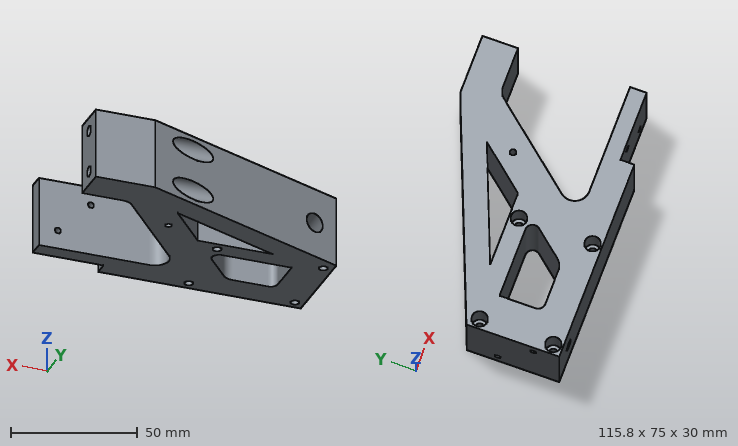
import math

import cadquery as cq

length = 115.85
depth = 75.0
thickness = 30.0

back_edge_y = 39.0
upper_arm_tip_length = 25.2
upper_arm_width = 15.0
lower_tab_length = 30.0
lower_tab_width = 7.0
tab_step = 5.85

slope_top_x = length - upper_arm_tip_length
slope_rise_per_run = (depth - back_edge_y) / slope_top_x
tab_start_x = length - lower_tab_length
tab_top_y = tab_step + lower_tab_width
upper_arm_bottom_y = depth - upper_arm_width

brace_rise_per_run = math.tan(math.radians(50.0))
throat_corner_x = 56.25
throat_corner_radius = 6.0
arm_corner_radius = 6.0

triangle_left_x = 27.0
triangle_right_x = 58.75

window_left_x = 15.85
window_bottom_right_x = 36.65
window_top_y = 31.0
window_acute_radius = 3.0
window_obtuse_radius = 6.0
window_square_radius = 3.0

mount_x_positions = (4.0, 49.0)
mount_y_positions = (4.0, 35.0)
mount_hole_diameter = 3.5
mount_bore_diameter = 6.5
mount_bore_depth = 10.0

arm_hole_y = 67.5
arm_hole_z_positions = (6.0, 24.0)
arm_hole_diameter = 4.2
arm_bore_diameter = 8.0
arm_bore_floor_x = slope_top_x

cross_hole_x = 10.85
cross_hole_z = thickness / 2
cross_hole_diameter = 4.7
cross_bore_diameter = 8.0
cross_bore_floor_y = 31.0

brace_hole_x = 74.15
brace_hole_y = 46.75
brace_hole_diameter = 2.6

tab_hole_centres = ((93.85, 22.0), (107.85, 8.0))
tab_hole_diameter = 2.5

end_hole_centres = ((11.0, 25.0), (26.0, 5.0))
end_hole_diameter = 2.5
end_hole_depth = 10.0
drill_point_angle = 118.0


def brace_x(foot_x, foot_y, y):
    """X at height y on a line parallel to the brace through the given foot."""
    return foot_x + (y - foot_y) / brace_rise_per_run


def vertical_edge(x, y):
    """Selector for the single edge along Z at the given corner."""
    reach = 0.1
    return cq.selectors.BoxSelector(
        (x - reach, y - reach, -reach),
        (x + reach, y + reach, thickness + reach),
    )


def prism(points):
    return cq.Workplane("XY").polyline(points).close().extrude(thickness)


def bore_z(x, y, diameter, z_start, height):
    return cq.Workplane("XY", origin=(x, y, z_start)).circle(diameter / 2).extrude(height)


def bore_x(y, z, diameter, x_start, reach):
    return cq.Workplane("YZ", origin=(x_start, y, z)).circle(diameter / 2).extrude(reach)


def bore_y(x, z, diameter, y_start, reach):
    return cq.Workplane("XZ", origin=(x, y_start, z)).circle(diameter / 2).extrude(-reach)


def make_body():
    arm_corner_x = brace_x(throat_corner_x, tab_top_y, upper_arm_bottom_y)
    body = prism([
        (0, 0),
        (tab_start_x, 0),
        (tab_start_x, tab_step),
        (length, tab_step),
        (length, tab_top_y),
        (throat_corner_x, tab_top_y),
        (arm_corner_x, upper_arm_bottom_y),
        (length, upper_arm_bottom_y),
        (length, depth),
        (slope_top_x, depth),
        (0, back_edge_y),
    ])
    body = body.edges(vertical_edge(throat_corner_x, tab_top_y)).fillet(throat_corner_radius)
    return body.edges(vertical_edge(arm_corner_x, upper_arm_bottom_y)).fillet(arm_corner_radius)


def make_triangle():
    base_width = triangle_right_x - triangle_left_x
    apex_run = base_width * brace_rise_per_run / (brace_rise_per_run - slope_rise_per_run)
    apex = (triangle_left_x + apex_run, back_edge_y + apex_run * slope_rise_per_run)
    return prism([(triangle_left_x, back_edge_y), (triangle_right_x, back_edge_y), apex])


def make_window():
    top_right_x = brace_x(window_bottom_right_x, tab_top_y, window_top_y)
    window = prism([
        (window_left_x, tab_top_y),
        (window_bottom_right_x, tab_top_y),
        (top_right_x, window_top_y),
        (window_left_x, window_top_y),
    ])
    window = window.edges(vertical_edge(window_left_x, tab_top_y)).fillet(window_square_radius)
    window = window.edges(vertical_edge(window_bottom_right_x, tab_top_y)).fillet(window_obtuse_radius)
    return window.edges(vertical_edge(top_right_x, window_top_y)).fillet(window_acute_radius)


def make_mount_hole(x, y):
    hole = bore_z(x, y, mount_hole_diameter, 0, thickness)
    return hole.union(bore_z(x, y, mount_bore_diameter, thickness - mount_bore_depth, mount_bore_depth))


def make_arm_hole(z):
    hole = bore_x(arm_hole_y, z, arm_hole_diameter, 0, length)
    return hole.union(bore_x(arm_hole_y, z, arm_bore_diameter, 0, arm_bore_floor_x))


def make_cross_hole():
    hole = bore_y(cross_hole_x, cross_hole_z, cross_hole_diameter, 0, depth)
    return hole.union(bore_y(cross_hole_x, cross_hole_z, cross_bore_diameter, cross_bore_floor_y, depth))


def make_end_hole(y, z):
    """Blind hole along +X with a conical drill point."""
    radius = end_hole_diameter / 2
    point_depth = radius / math.tan(math.radians(drill_point_angle / 2))
    profile = [
        (0, 0),
        (0, radius),
        (end_hole_depth, radius),
        (end_hole_depth + point_depth, 0),
    ]
    plane = cq.Workplane("XY", origin=(0, y, z))
    return plane.polyline(profile).close().revolve(360, (0, 0), (1, 0))


result = make_body().cut(make_triangle()).cut(make_window())

for mount_x in mount_x_positions:
    for mount_y in mount_y_positions:
        result = result.cut(make_mount_hole(mount_x, mount_y))

for arm_hole_z in arm_hole_z_positions:
    result = result.cut(make_arm_hole(arm_hole_z))

for tab_x, tab_z in tab_hole_centres:
    result = result.cut(bore_y(tab_x, tab_z, tab_hole_diameter, 0, tab_top_y))

for end_y, end_z in end_hole_centres:
    result = result.cut(make_end_hole(end_y, end_z))

result = result.cut(make_cross_hole())
result = result.cut(bore_z(brace_hole_x, brace_hole_y, brace_hole_diameter, 0, thickness))